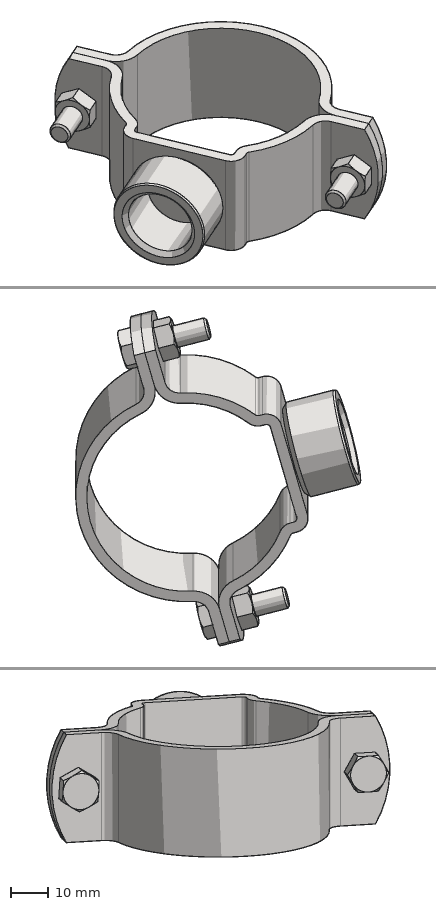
import cadquery as cq
import math

overall_length = 94.0
band_outer_radius = 30.0
strip_thickness = 3.0
strip_width = 30.0
ear_bend_radius = 4.0
ear_tip_radius = 30.0

seat_flat_half_width = 13.4
seat_bend_radius = 1.0

socket_length = 15.0
socket_outer_diameter = 26.4
socket_bore_radius = 9.2
socket_mouth_radius = 10.5
socket_weld_bevel = 1.3
socket_rim_bevel_length = 0.6
socket_rim_bevel_depth = 0.3

bolt_spacing = 80.0
bolt_radius = 3.0
bolt_end_y = -17.0
bolt_end_chamfer = 0.6
hex_across_flats = 10.0
hex_chamfer_angle = 30
hex_half_sector = 30
head_height = 4.0
nut_height = 4.8
left_head_turn = 0
right_head_turn = 26.5

band_inner_radius = band_outer_radius - strip_thickness
tip_x = overall_length / 2
bolt_x = bolt_spacing / 2
socket_outer_radius = socket_outer_diameter / 2
seat_y = -band_outer_radius
bend_outer_radius = seat_bend_radius + strip_thickness
ear_bend_outer_radius = ear_bend_radius + strip_thickness

ear_bend_y = ear_bend_outer_radius
ear_bend_reach = band_outer_radius + ear_bend_radius
ear_bend_x = math.sqrt(ear_bend_reach**2 - ear_bend_y**2)
ear_bend_angle = math.degrees(math.atan2(ear_bend_y, ear_bend_x))

seat_wall_x = seat_flat_half_width + bend_outer_radius
shoulder_x = seat_wall_x + seat_bend_radius
shoulder_reach = band_outer_radius + seat_bend_radius
shoulder_y = -math.sqrt(shoulder_reach**2 - shoulder_x**2)
shoulder_angle = math.degrees(math.atan2(shoulder_y, shoulder_x))
seat_bend_y = seat_y + bend_outer_radius


def polar(radius, angle, center=(0, 0)):
    """Point at a radius and an angle in degrees around a center."""
    turn = math.radians(angle)
    return (center[0] + radius * math.cos(turn), center[1] + radius * math.sin(turn))


def arc(path, center, radius, start, end):
    """Continue the path along an arc between two angles, starting at the current point."""
    return path.threePointArc(polar(radius, (start + end) / 2, center), polar(radius, end, center))


def add_ear(path, side):
    """From the band's outer face around the ear to its inner face; side is 1 above Y = 0, -1 below."""
    center = (ear_bend_x, side * ear_bend_y)
    at_band = side * (180 + ear_bend_angle)
    at_ear = side * 270
    path = arc(path, center, ear_bend_radius, at_band, at_ear)
    path = path.lineTo(tip_x, side * strip_thickness).lineTo(tip_x, 0).lineTo(ear_bend_x, 0)
    return arc(path, center, ear_bend_outer_radius, at_ear, at_band)


def finish_clamp(half_outline):
    """Extrude a right-hand outline, mirror it, round the ear tips and drill the bolt holes."""
    right = half_outline.close().extrude(strip_width / 2, both=True)
    strip = right.union(right.mirror("YZ"))

    half_width = strip_width / 2
    corner_x = tip_x - ear_tip_radius + math.sqrt(ear_tip_radius**2 - half_width**2)
    ear_plan = (
        cq.Workplane("XZ")
        .moveTo(-corner_x, -half_width)
        .lineTo(corner_x, -half_width)
        .threePointArc((tip_x, 0), (corner_x, half_width))
        .lineTo(-corner_x, half_width)
        .threePointArc((-tip_x, 0), (-corner_x, -half_width))
        .close()
        .extrude(overall_length, both=True)
    )
    bolt_holes = (
        cq.Workplane("XZ")
        .pushPoints([(-bolt_x, 0), (bolt_x, 0)])
        .circle(bolt_radius)
        .extrude(strip_thickness, both=True)
    )
    return strip.intersect(ear_plan).cut(bolt_holes)


def make_upper_clamp():
    path = cq.Workplane("XY").moveTo(0, band_outer_radius)
    path = arc(path, (0, 0), band_outer_radius, 90, ear_bend_angle)
    path = add_ear(path, 1)
    path = arc(path, (0, 0), band_inner_radius, ear_bend_angle, 90)
    return finish_clamp(path)


def make_lower_clamp():
    shoulder = (shoulder_x, shoulder_y)
    seat_bend = (seat_flat_half_width, seat_bend_y)
    shoulder_start = 180 + shoulder_angle

    path = cq.Workplane("XY").moveTo(0, seat_y).lineTo(seat_flat_half_width, seat_y)
    path = arc(path, seat_bend, bend_outer_radius, -90, 0)
    path = path.lineTo(seat_wall_x, shoulder_y)
    path = arc(path, shoulder, seat_bend_radius, 180, shoulder_start)
    path = arc(path, (0, 0), band_outer_radius, shoulder_angle, -ear_bend_angle)

    path = add_ear(path, -1)

    path = arc(path, (0, 0), band_inner_radius, -ear_bend_angle, shoulder_angle)
    path = arc(path, shoulder, bend_outer_radius, shoulder_start, 180)
    path = path.lineTo(seat_wall_x - strip_thickness, seat_bend_y)
    path = arc(path, seat_bend, seat_bend_radius, 0, -90)
    path = path.lineTo(0, seat_y + strip_thickness)
    return finish_clamp(path)


def make_socket():
    """Ring on the seat with a weld bevel, a beveled rim and a countersunk bore."""
    end_y = seat_y - socket_length
    countersink = socket_mouth_radius - socket_bore_radius
    return (
        cq.Workplane("XY")
        .moveTo(socket_bore_radius, seat_y)
        .lineTo(socket_outer_radius - socket_weld_bevel, seat_y)
        .lineTo(socket_outer_radius, seat_y - socket_weld_bevel)
        .lineTo(socket_outer_radius, end_y + socket_rim_bevel_length)
        .lineTo(socket_outer_radius - socket_rim_bevel_depth, end_y)
        .lineTo(socket_mouth_radius, end_y)
        .lineTo(socket_bore_radius, end_y + countersink)
        .close()
        .revolve(360, (0, 0), (0, 1))
    )


def make_hex(height, turn):
    """Hexagon rising along +Z from Z = 0 with its top corners cut by a cone."""
    across_corners = hex_across_flats / math.cos(math.radians(hex_half_sector))
    flat_radius = hex_across_flats / 2
    corner_radius = across_corners / 2
    drop = (corner_radius - flat_radius) * math.tan(math.radians(hex_chamfer_angle))
    cone = (
        cq.Workplane("XZ")
        .lineTo(corner_radius, 0)
        .lineTo(corner_radius, height - drop)
        .lineTo(flat_radius, height)
        .lineTo(0, height)
        .close()
        .revolve(360, (0, 0), (0, 1))
    )
    prism = cq.Workplane("XY").polygon(6, across_corners).extrude(height)
    return prism.rotate((0, 0, 0), (0, 0, 1), turn).intersect(cone)


def make_bolt(x, head_turn):
    """Bolt along Y with its head resting on the upper ear."""
    head = make_hex(head_height, head_turn).rotate((0, 0, 0), (1, 0, 0), -90)
    head = head.translate((x, strip_thickness, 0))
    shank = (
        cq.Workplane("XZ", origin=(x, strip_thickness, 0))
        .circle(bolt_radius)
        .extrude(strip_thickness - bolt_end_y)
        .faces("<Y")
        .chamfer(bolt_end_chamfer)
    )
    return head.union(shank)


def make_nut(x):
    """Hexagon nut under the lower ear."""
    nut = make_hex(nut_height, hex_half_sector).faces(">Z").workplane().hole(2 * bolt_radius)
    return nut.rotate((0, 0, 0), (1, 0, 0), 90).translate((x, -strip_thickness, 0))


upper_clamp = make_upper_clamp()
lower_clamp = make_lower_clamp()
socket = make_socket()
bolts = [make_bolt(x, turn) for x, turn in [(-bolt_x, left_head_turn), (bolt_x, right_head_turn)]]
nuts = [make_nut(x) for x in (-bolt_x, bolt_x)]

fasteners = [body.val() for body in bolts + nuts]
result = cq.Compound.makeCompound([upper_clamp.val(), lower_clamp.val(), socket.val(), *fasteners])